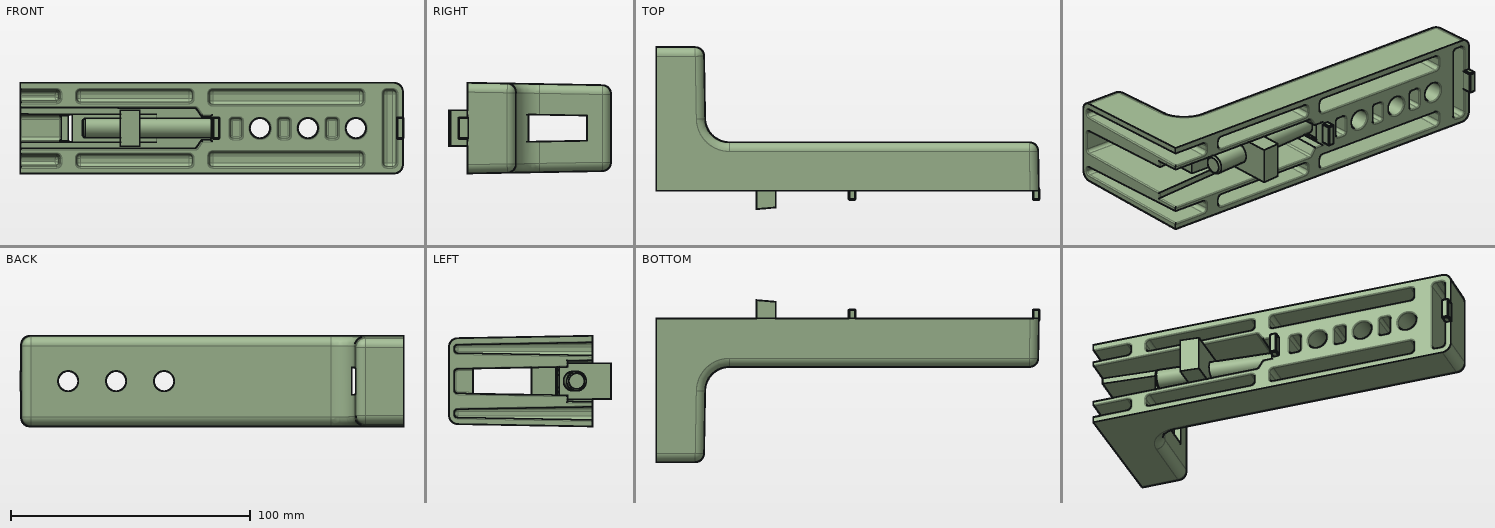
import cadquery as cq
import math


bar_length = 159.7
bar_width = 38.0
bar_thickness = 20.3
arm_height = 60.0
arm_root = 20.5
arm_root_height = 30.1
inside_corner_radius = 10.0
outer_fillet = 3.8
draft = 1.0
draft_slope = math.tan(math.radians(draft))
half_width = bar_width / 2

rim_fillet = 0.5
skin = 2.2
pocket_depth = bar_thickness - skin
pocket_corner = 1.8
floor_fillet = 1.5
wall_outer_z = 16.6
overrun = 8.0

arm_pocket_end = 17.3
arm_depth = arm_height - skin
arm_pocket_inner_z = 10.2
middle_pocket_start, middle_pocket_end = 22.9, 72.5
long_pocket_start, long_pocket_end = 78.1, 143.7
long_pocket_inner_z = 9.3
end_pocket_start, end_pocket_end = 150.7, 157.5

hole_pitch = 20.0
hole_count = 3
first_hole_x = 100.0
hole_diameter = 8.3
small_pocket_offset = hole_pitch / 2
small_pocket_length = 6.1
small_pocket_width = 9.6
small_pocket_corner = 1.3
small_pocket_fillet = 0.6

lever_tilt = 5.0
lever_slope = math.tan(math.radians(lever_tilt))
bay_depth = 10.4
bay_half_width = 8.6
bay_length = 73.5
bay_corner = 1.3
neck_start = 75.8
neck_half_width = 5.1
neck_end = 79.7
channel_half_width = 6.1
channel_depth = 15.4
channel_end = 57.6
window_end = 22.1
channel_arm_end = 18.0
window_top = 50.0
channel_corner = 1.5
channel_end_fillet = 0.6

socket_end = 80.8
socket_front = 3.7
socket_back = 16.6
socket_width = 8.6
socket_overlap = 1.6

nib_length = 3.0
nib_width = 9.1
nib_height = 3.8
nib_edge = 0.5
nib_starts = (80.2, 157.0)

rod_diameter = 8.2
rod_start = 26.1
rod_start_y = 6.7
rod_end = 80.3
rod_chamfer = 0.8

block_start, block_end = 41.8, 50.0
block_width = 15.0
block_front = -7.7

tolerance = 0.02

open_face = cq.Plane(origin=(0, 0, 0), xDir=(1, 0, 0), normal=(0, 1, 0))


def box(x0, x1, y0, y1, width):
    """Box between two X and two Y positions, centred on Z = 0."""
    return cq.Workplane("XY").box(x1 - x0, y1 - y0, width, centered=(False, False, True)).translate((x0, y0, 0))


def side_prism(points, width):
    """Prism across the width with the given outline in X and Y, centred on Z = 0."""
    return cq.Workplane("XY").polyline(points).close().extrude(width / 2, both=True)


def pocket(x0, x1, z0, z1, depth, corner, bottom_fillet):
    """Drafted pocket with rounded corners and a rounded floor; its limits include the rounded rim."""
    return (
        cq.Workplane(open_face)
        .center((x0 + x1) / 2, -(z0 + z1) / 2)
        .sketch().rect(x1 - x0 - 2 * rim_fillet, z1 - z0 - 2 * rim_fillet).vertices().fillet(corner).finalize()
        .extrude(depth, taper=draft)
        .faces(">Y").edges().fillet(bottom_fillet)
    )


def housing_blank():
    """L-shaped drafted body with its outer edges rounded."""
    bar_end_back = bar_length - bar_thickness * draft_slope
    arm_tip = arm_root - (arm_height - arm_root_height) * draft_slope
    side_back = half_width - arm_height * draft_slope
    profile = (
        cq.Workplane("XY")
        .lineTo(bar_length, 0)
        .lineTo(bar_end_back, bar_thickness)
        .lineTo(arm_root + inside_corner_radius, bar_thickness)
        .radiusArc((arm_root, arm_root_height), inside_corner_radius)
        .lineTo(arm_tip, arm_height)
        .lineTo(0, arm_height)
        .close()
        .extrude(half_width, both=True)
    )
    side_draft = (
        cq.Workplane("YZ")
        .polyline([
            (0, -half_width), (arm_height, -side_back), (arm_height, side_back), (0, half_width),
        ])
        .close()
        .extrude(bar_length)
    )
    blank = profile.intersect(side_draft)
    rounded = []
    for edge in blank.edges().vals():
        bounds = edge.BoundingBox()
        in_flat_face = bounds.xmax < tolerance or bounds.ymax < tolerance
        center = edge.Center()
        at_arc_end = abs(center.z) < tolerance and (
            abs(center.x - arm_root) < tolerance or abs(center.x - arm_root - inside_corner_radius) < tolerance
        )
        if not in_flat_face and not at_arc_end:
            rounded.append(edge)
    return blank.newObject(rounded).fillet(outer_fillet)


def side_pockets():
    """Three weight-saving pockets along each long side; the first also opens through the arm."""
    pockets = cq.Workplane("XY")
    for side in (-1, 1):
        outer = side * wall_outer_z
        inner = side * arm_pocket_inner_z
        long_inner = side * long_pocket_inner_z
        for x0, x1, z0, depth in (
            (-overrun, arm_pocket_end, inner, arm_depth),
            (middle_pocket_start, middle_pocket_end, inner, pocket_depth),
            (long_pocket_start, long_pocket_end, long_inner, pocket_depth),
        ):
            low, high = min(z0, outer), max(z0, outer)
            pockets = pockets.add(pocket(x0, x1, low, high, depth, pocket_corner, floor_fillet))
    return pockets.combine()


def end_pocket():
    """Pocket across the width at the far end of the bar."""
    return pocket(
        end_pocket_start, end_pocket_end, -wall_outer_z, wall_outer_z, pocket_depth, pocket_corner, floor_fillet
    )


def drafted_prism(outline):
    """Drafted cut through the bar from a closed sketch on the open face."""
    return cq.Workplane(open_face).placeSketch(outline).extrude(bar_thickness, taper=draft)


def lever_bay():
    """Wide tapered bay whose floor slopes parallel to the rod, ending in a neck."""
    bay_tip = neck_start + neck_half_width * (neck_start - bay_length) / (bay_half_width - neck_half_width)
    bay_outline = (
        cq.Sketch()
        .polygon([
            (-overrun, -bay_half_width), (bay_length, -bay_half_width), (bay_tip, 0),
            (bay_length, bay_half_width), (-overrun, bay_half_width), (-overrun, -bay_half_width),
        ])
        .vertices().fillet(bay_corner)
    )
    neck_outline = (
        cq.Sketch()
        .push([((bay_length + neck_end) / 2, 0)])
        .rect(neck_end - bay_length, 2 * neck_half_width)
    )
    walls = drafted_prism(bay_outline).union(drafted_prism(neck_outline))
    depth_at_start = bay_depth - overrun * lever_slope
    depth_at_end = bay_depth + neck_end * lever_slope
    floor_limit = side_prism(
        [(-overrun, 0), (-overrun, depth_at_start), (neck_end, depth_at_end), (neck_end, 0)], bar_width
    )
    return walls.intersect(floor_limit)


def slot(end, depth):
    """Drafted slot along the middle of the housing, open at the X = 0 face."""
    return (
        cq.Workplane(open_face)
        .center((end - overrun) / 2, 0)
        .rect(end + overrun, 2 * channel_half_width)
        .extrude(depth, taper=draft)
    )


def channel():
    """Stepped slot: under the lever, out through the inside corner, and up inside the arm."""
    arm_slot = slot(channel_arm_end, arm_depth).faces(">Y").edges("|X").fillet(channel_corner)
    arm_slot = arm_slot.faces(">Y").edges(">X").fillet(channel_end_fillet)
    return arm_slot.union(slot(window_end, window_top)).union(slot(channel_end, channel_depth))


def small_pockets():
    """One small pocket ahead of each mounting hole."""
    pockets = cq.Workplane("XY")
    for index in range(hole_count):
        start = first_hole_x + index * hole_pitch - small_pocket_offset - small_pocket_length / 2
        pockets = pockets.add(pocket(
            start, start + small_pocket_length, -small_pocket_width / 2, small_pocket_width / 2,
            pocket_depth, small_pocket_corner, small_pocket_fillet,
        ))
    return pockets.combine()


def mounting_holes():
    """Row of through holes along the middle of the bar."""
    positions = [(first_hole_x + index * hole_pitch, 0) for index in range(hole_count)]
    return cq.Workplane(open_face).pushPoints(positions).circle(hole_diameter / 2).extrude(bar_thickness)


def rod_socket():
    """Shallow recess in the end wall of the neck for the tip of the rod."""
    return box(neck_end - socket_overlap, socket_end, socket_front, socket_back, socket_width)


def round_rims(body):
    """Round the rims of the openings in the open face and in the X = 0 face."""
    rims = []
    for edge in body.edges().vals():
        bounds = edge.BoundingBox()
        center = edge.Center()
        in_open_face = bounds.ymax < tolerance
        in_arm_face = bounds.xmax < tolerance
        inside_outline = (
            abs(center.z) < wall_outer_z + tolerance
            and center.x < end_pocket_end + tolerance
            and center.y < arm_depth + tolerance
        )
        if in_open_face != in_arm_face and inside_outline:
            rims.append(edge)
    return body.newObject(rims).fillet(rim_fillet)


def nibs():
    """Two locating nibs with chamfered edges, standing on the open face."""
    pair = cq.Workplane("XY")
    for start in nib_starts:
        nib = box(start, start + nib_length, -nib_height, rim_fillet, nib_width)
        pair = pair.add(nib.faces("<Y or >Z or <Z").edges("not >Y").chamfer(nib_edge))
    return pair.combine()


def housing_body():
    """Housing with all its pockets, holes, rounded rims and nibs."""
    body = housing_blank()
    body = body.cut(side_pockets()).cut(end_pocket()).cut(lever_bay()).cut(channel())
    body = body.cut(small_pockets()).cut(mounting_holes())
    body = round_rims(body)
    return body.cut(rod_socket()).union(nibs())


def rod_body():
    """Round rod sloping deeper into the housing along X, chamfered at its free end."""
    direction = cq.Vector(1, lever_slope, 0)
    length = (rod_end - rod_start) * math.hypot(1, lever_slope)
    axis = cq.Plane(origin=(rod_start, rod_start_y, 0), xDir=(0, 0, 1), normal=direction)
    return cq.Workplane(axis).circle(rod_diameter / 2).extrude(length).faces("<X").chamfer(rod_chamfer)


def block_body():
    """Block seated on the sloping bay floor, bored for the rod."""
    run = (block_end - block_start) * lever_slope
    seat = bay_depth + block_start * lever_slope
    block = side_prism([
        (block_start, block_front), (block_start, seat),
        (block_end, seat + run), (block_end, block_front + run),
    ], block_width)
    return block.cut(rod_body())


housing = housing_body()
rod = rod_body()
block = block_body()
result = cq.Compound.makeCompound([housing.val(), rod.val(), block.val()])